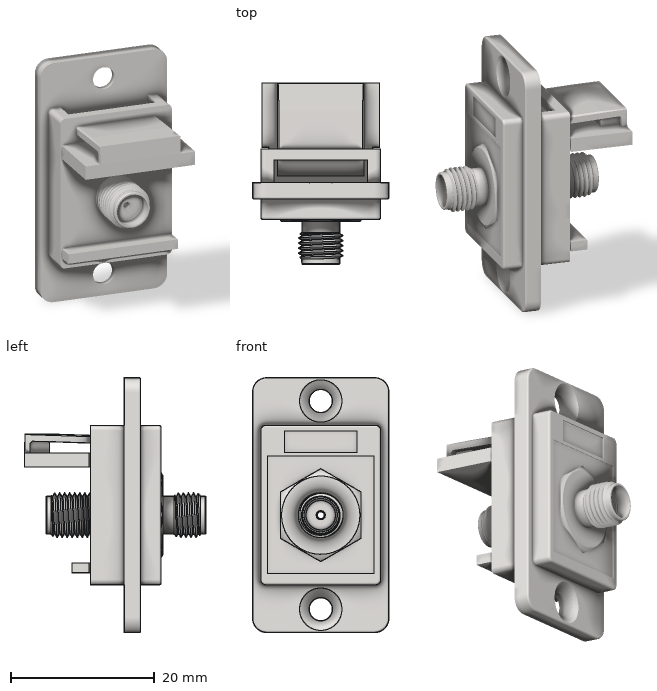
import cadquery as cq
import math


FLANGE_WIDTH = 19.0
FLANGE_HEIGHT = 35.5
FLANGE_THICKNESS = 2.3
FLANGE_CORNER_RADIUS = 2.0
FLANGE_EDGE_RADIUS = 0.25
SCREW_OFFSET = 14.5
SCREW_DIAMETER = 3.2
COUNTERSINK_DIAMETER = 5.9
COUNTERSINK_ANGLE = 90.0

HOUSING_WIDTH = 16.7
HOUSING_HEIGHT = 22.2
HOUSING_FRONT = -5.15
HOUSING_REAR = 4.7
HOUSING_CORNER_RADIUS = 0.7
HOUSING_EDGE_RADIUS = 0.3

LABEL_WIDTH = 10.05
LABEL_BOTTOM = 7.3
LABEL_TOP = 10.35
LABEL_DEPTH = 0.2
INSERT_WIDTH = 14.8
INSERT_BOTTOM = -9.5
INSERT_TOP = 6.85
INSERT_FACE = HOUSING_FRONT + 0.1

WINDOW_WIDTH = 13.08
WINDOW_REAR = 3.17
NOSE_FRONT = 0.95
NOSE_ANGLE = 40.9

LATCH_REAR = 13.9
LATCH_WIDTH = 12.0
LATCH_TOP = 9.9
LATCH_THICKNESS = 1.1
LATCH_BEND = 10.0
LATCH_SLOPE = 1.9
LATCH_BEVEL = 0.2
LATCH_LEG_THICKNESS = 0.8
LATCH_LEG_BEVEL = 0.3
RIB_WIDTH = 9.7
RIB_FRONT = 10.4

TAB_WIDTH = 16.4
TAB_NECK_WIDTH = 14.5
TAB_NECK_LENGTH = 0.2
UPPER_TAB_BOTTOM = 5.3
UPPER_TAB_TOP = 7.28
LOWER_TAB_REAR = 7.3
LOWER_TAB_BOTTOM = -9.45
LOWER_TAB_TOP = -8.05

CONNECTOR_Z = -1.4
CONNECTOR_FRONT = -11.4
CONNECTOR_REAR = 10.9
BARREL_DIAMETER = 5.3
BARREL_CHAMFER = 0.12
SOCKET_DIAMETER = 4.65
SOCKET_DEPTH = 2.0
INSULATOR_DIAMETER = 4.1
INSULATOR_STEP = 0.1
CONTACT_DIAMETER = 1.27
CONTACT_BORE = 0.95

THREAD_DIAMETER = 6.25
THREAD_PITCH = 0.7
THREAD_HALF_ANGLE = 30.0
THREAD_ROOT_OVERLAP = 0.05
FRONT_THREAD_START = -6.95
FRONT_THREAD_END = -10.65
REAR_THREAD_END = 10.2
FRONT_CREST = -7.55
REAR_CREST = 9.69

HEX_FLATS = 11.2
HEX_FACE_DIAMETER = 10.9
HEX_FACE = -5.4
HEX_CHAMFER_ANGLE = 30.0


def tan_deg(angle):
    return math.tan(math.radians(angle))


def block(width, y_min, y_max, z_min, z_max):
    """Block centred on X = 0."""
    size = cq.Workplane("XY").box(width, y_max - y_min, z_max - z_min, centered=(True, False, False))
    return size.translate((0, y_min, z_min))


def side_profile(points, width):
    """Extrude a closed (Y, Z) outline symmetrically about X = 0."""
    return cq.Workplane("YZ").polyline(points).close().extrude(width / 2, both=True)


def along_connector(shape):
    """Lay a shape built on +Z along +Y, on the connector axis."""
    return shape.rotate((0, 0, 0), (1, 0, 0), -90).translate((0, 0, CONNECTOR_Z))


def cylinder(diameter, y_min, y_max):
    """Cylinder on the connector axis."""
    rod = cq.Workplane("XY").circle(diameter / 2).extrude(y_max - y_min)
    return along_connector(rod.translate((0, 0, y_min)))


def make_flange():
    flange = block(FLANGE_WIDTH, -FLANGE_THICKNESS, 0, -FLANGE_HEIGHT / 2, FLANGE_HEIGHT / 2)
    flange = flange.edges("|Y").fillet(FLANGE_CORNER_RADIUS)
    flange = flange.faces("<Y").edges().fillet(FLANGE_EDGE_RADIUS)
    front = flange.faces("<Y").workplane(origin=(0, -FLANGE_THICKNESS, 0))
    screws = front.pushPoints([(0, -SCREW_OFFSET), (0, SCREW_OFFSET)])
    return screws.cskHole(SCREW_DIAMETER, COUNTERSINK_DIAMETER, COUNTERSINK_ANGLE)


def make_housing():
    housing = block(HOUSING_WIDTH, HOUSING_FRONT, HOUSING_REAR, -HOUSING_HEIGHT / 2, HOUSING_HEIGHT / 2)
    housing = housing.edges("|Y").fillet(HOUSING_CORNER_RADIUS)
    return housing.faces("<Y").edges().fillet(HOUSING_EDGE_RADIUS)


def cut_front_fields(part):
    """Sink the label field and the insert face into the housing front."""
    label = block(LABEL_WIDTH, HOUSING_FRONT, HOUSING_FRONT + LABEL_DEPTH, LABEL_BOTTOM, LABEL_TOP)
    insert = block(INSERT_WIDTH, HOUSING_FRONT, INSERT_FACE, INSERT_BOTTOM, INSERT_TOP)
    return part.cut(label).cut(insert)


def latch_top_at(y):
    """Height of the sloped latch top before it is trimmed flat."""
    return LATCH_TOP - (LATCH_BEND - y) * tan_deg(LATCH_SLOPE)


def cut_latch_window(part):
    """Open the housing top and leave the sloped latch nose standing in the opening."""
    nose_top = latch_top_at(WINDOW_REAR)
    floor = nose_top - (WINDOW_REAR - NOSE_FRONT) * tan_deg(NOSE_ANGLE)
    window = block(WINDOW_WIDTH, 0, WINDOW_REAR, floor, HOUSING_HEIGHT / 2)
    nose = side_profile([(NOSE_FRONT, floor), (WINDOW_REAR, floor), (WINDOW_REAR, nose_top)], LATCH_WIDTH)
    return part.cut(window.cut(nose))


def make_latch():
    """Sloping arm with a rear leg standing on the upper tab, and a rib under the arm.

    The arm is bevelled along both upper sides and its top is flat behind the bend.
    """
    front_top = latch_top_at(HOUSING_REAR)
    leg_front = LATCH_REAR - LATCH_LEG_THICKNESS
    underside = latch_top_at(leg_front) - LATCH_THICKNESS
    rear_crown = LATCH_REAR - (LATCH_TOP - UPPER_TAB_TOP) * tan_deg(LATCH_SLOPE)
    outline = [
        (HOUSING_REAR, front_top),
        (rear_crown, latch_top_at(rear_crown)),
        (LATCH_REAR, UPPER_TAB_TOP),
        (leg_front, UPPER_TAB_TOP),
        (leg_front, underside - LATCH_LEG_BEVEL),
        (leg_front - LATCH_LEG_BEVEL, underside),
        (HOUSING_REAR, front_top - LATCH_THICKNESS),
    ]
    latch = side_profile(outline, LATCH_WIDTH)
    arm_top = cq.selectors.BoxSelector(
        (-LATCH_WIDTH, HOUSING_REAR, front_top), (LATCH_WIDTH, LATCH_REAR, LATCH_TOP + LATCH_THICKNESS)
    )
    latch = latch.edges("#X").edges(arm_top).chamfer(LATCH_BEVEL)
    latch = latch.cut(
        block(LATCH_WIDTH, HOUSING_REAR, LATCH_REAR, LATCH_TOP, LATCH_TOP + LATCH_THICKNESS)
    )
    rib = block(RIB_WIDTH, RIB_FRONT, leg_front, UPPER_TAB_TOP, underside)
    return latch.union(rib)


def make_tab(rear, bottom, top):
    neck_rear = HOUSING_REAR + TAB_NECK_LENGTH
    neck = block(TAB_NECK_WIDTH, HOUSING_REAR, neck_rear, bottom, top)
    return neck.union(block(TAB_WIDTH, neck_rear, rear, bottom, top))


def hexagon(y_min, y_max):
    """Hexagonal prism on the connector axis, with corners at the top and bottom."""
    corner_diameter = HEX_FLATS / math.cos(math.radians(30))
    prism = cq.Workplane("XY").polygon(6, corner_diameter).extrude(y_max - y_min)
    prism = prism.rotate((0, 0, 0), (0, 0, 1), 30)
    return along_connector(prism.translate((0, 0, y_min)))


def add_hex_collar(part):
    """Collar set in a hexagonal recess, its corners chamfered below the insert face."""
    corner_reach = HEX_FLATS / math.sqrt(3) - HEX_FACE_DIAMETER / 2
    chamfer_depth = corner_reach * tan_deg(HEX_CHAMFER_ANGLE)
    base = HEX_FACE + chamfer_depth
    cone = cq.Workplane("XY").circle(HEX_FACE_DIAMETER / 2)
    cone = cone.extrude(chamfer_depth, taper=HEX_CHAMFER_ANGLE - 90)
    cone = along_connector(cone.translate((0, 0, HEX_FACE)))
    collar = hexagon(HEX_FACE, base).intersect(cone)
    return part.cut(hexagon(INSERT_FACE, base)).union(collar)


def make_thread(y_min, y_max, crest_y):
    """Helical ridge between two stations, with a crest above the axis at crest_y.

    The ridge fades out over 45 degree cones at both stations.
    """
    root_radius = BARREL_DIAMETER / 2 - THREAD_ROOT_OVERLAP
    crest_radius = THREAD_DIAMETER / 2
    ridge_height = crest_radius - BARREL_DIAMETER / 2
    half_base = (crest_radius - root_radius) * tan_deg(THREAD_HALF_ANGLE)
    lead_in = math.ceil((crest_y - y_min) / THREAD_PITCH + 1) * THREAD_PITCH
    start = crest_y - lead_in
    length = y_max + THREAD_PITCH - start
    path = cq.Workplane(cq.Wire.makeHelix(THREAD_PITCH, length, root_radius))
    profile = cq.Workplane("XZ").polyline(
        [(root_radius, -half_base), (crest_radius, 0), (root_radius, half_base)]
    )
    ridge = profile.close().sweep(path, isFrenet=True)
    ridge = ridge.rotate((0, 0, 0), (0, 0, 1), -90)
    ridge = along_connector(ridge.translate((0, 0, start)))
    envelope = cylinder(THREAD_DIAMETER + THREAD_ROOT_OVERLAP, y_min, y_max)
    envelope = envelope.faces("<Y or >Y").chamfer(ridge_height)
    return envelope.intersect(ridge)


def cut_socket(part, mouth, direction):
    """Bore one connector end; direction is the sense of Y going inwards."""
    steps = [
        (SOCKET_DIAMETER, SOCKET_DEPTH),
        (INSULATOR_DIAMETER, SOCKET_DEPTH + INSULATOR_STEP),
        (CONTACT_DIAMETER, SOCKET_DEPTH + 2 * INSULATOR_STEP),
    ]
    for diameter, depth in steps:
        bottom = mouth + direction * depth
        part = part.cut(cylinder(diameter, min(mouth, bottom), max(mouth, bottom)))
    return part


def add_connector(part):
    barrel = cylinder(BARREL_DIAMETER, CONNECTOR_FRONT, CONNECTOR_REAR)
    barrel = barrel.faces("<Y or >Y").chamfer(BARREL_CHAMFER)
    barrel = barrel.union(make_thread(FRONT_THREAD_END, FRONT_THREAD_START, FRONT_CREST))
    barrel = barrel.union(make_thread(HOUSING_REAR - THREAD_PITCH, REAR_THREAD_END, REAR_CREST))
    part = part.union(barrel)
    part = cut_socket(part, CONNECTOR_FRONT, 1)
    part = cut_socket(part, CONNECTOR_REAR, -1)
    return part.cut(cylinder(CONTACT_BORE, CONNECTOR_FRONT, CONNECTOR_REAR))


result = make_flange().union(make_housing())
result = cut_front_fields(result)
result = cut_latch_window(result)
result = result.union(make_tab(LATCH_REAR, UPPER_TAB_BOTTOM, UPPER_TAB_TOP))
result = result.union(make_tab(LOWER_TAB_REAR, LOWER_TAB_BOTTOM, LOWER_TAB_TOP))
result = result.union(make_latch())
result = add_hex_collar(result)
result = add_connector(result)